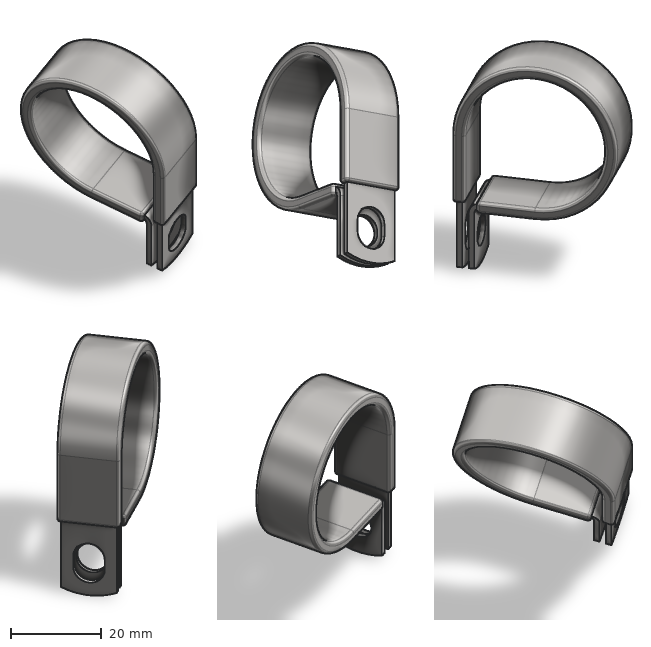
import cadquery as cq
import math

RING_INNER_RADIUS = 15.85
STRAP_THICKNESS = 1.27
STRAP_WIDTH = 12.65
CUSHION_THICKNESS = 0.78
CUSHION_WIDTH = 14.2875

FLAT_CUSHION_LENGTH = 13.3

LEG_GAP = 1.5
BEND_INNER_RADIUS = 1.1
LEG_TIP_Z = -34.06
LEG_TIP_RADIUS = 15.875
HOLE_DIAMETER = 7.14
HOLE_Z = -26.15
SLOT_LENGTH = 9.525
SLOT_ANGLE = 90

strap_inner_radius = RING_INNER_RADIUS + CUSHION_THICKNESS
strap_outer_radius = strap_inner_radius + STRAP_THICKNESS
ring_outer_radius = strap_outer_radius + CUSHION_THICKNESS
upright_cushion_length = strap_inner_radius
bent_leg_outer_x = strap_inner_radius - LEG_GAP
bent_leg_inner_x = bent_leg_outer_x - STRAP_THICKNESS
bend_outer_radius = BEND_INNER_RADIUS + STRAP_THICKNESS
bend_center_x = bent_leg_outer_x - bend_outer_radius
bend_center_z = -strap_outer_radius - BEND_INNER_RADIUS

DIAGONAL = math.sqrt(0.5)


def extrude_centered(profile, width):
    """Extrude an XZ profile by the given width, centred on Y = 0."""
    return profile.extrude(width / 2, both=True)


def three_quarter_band(inner, outer, upright_length, flat_length, width):
    """Band around three quarters of the ring, with a straight run at each end."""
    profile = (
        cq.Workplane("XZ")
        .moveTo(outer, -upright_length)
        .lineTo(outer, 0)
        .threePointArc((-outer * DIAGONAL, outer * DIAGONAL), (0, -outer))
        .lineTo(flat_length, -outer)
        .lineTo(flat_length, -inner)
        .lineTo(0, -inner)
        .threePointArc((-inner * DIAGONAL, inner * DIAGONAL), (inner, 0))
        .lineTo(inner, -upright_length)
        .close()
    )
    return extrude_centered(profile, width)


def make_cushion():
    """Cushion sleeve around the strap, rounded along its sides and at both ends."""
    band = three_quarter_band(
        RING_INNER_RADIUS,
        ring_outer_radius,
        upright_cushion_length,
        FLAT_CUSHION_LENGTH,
        CUSHION_WIDTH,
    )
    mid_radius = (RING_INNER_RADIUS + ring_outer_radius) / 2
    upright_end = cq.selectors.NearestToPointSelector((mid_radius, 0, -upright_cushion_length))
    flat_end = cq.selectors.NearestToPointSelector((FLAT_CUSHION_LENGTH, 0, -mid_radius))
    side_edges = band.faces("<Y or >Y").edges()
    upright_end_edges = band.faces(upright_end).edges()
    flat_end_edges = band.faces(flat_end).edges()
    return side_edges.add(upright_end_edges).add(flat_end_edges).fillet(CUSHION_THICKNESS)


def bend_midpoint(radius):
    """Point halfway round the leg bend at the given radius."""
    return (bend_center_x + radius * DIAGONAL, bend_center_z + radius * DIAGONAL)


def make_bent_leg():
    """Leg that turns down from the flat end of the strap band."""
    profile = (
        cq.Workplane("XZ")
        .moveTo(bend_center_x, -strap_inner_radius)
        .threePointArc(bend_midpoint(bend_outer_radius), (bent_leg_outer_x, bend_center_z))
        .lineTo(bent_leg_outer_x, LEG_TIP_Z)
        .lineTo(bent_leg_inner_x, LEG_TIP_Z)
        .lineTo(bent_leg_inner_x, bend_center_z)
        .threePointArc(bend_midpoint(BEND_INNER_RADIUS), (bend_center_x, -strap_outer_radius))
        .close()
    )
    return extrude_centered(profile, STRAP_WIDTH)


def make_leg_cutter():
    """Material removed from both legs: outside the rounded tips, the bolt hole and the slot."""
    half_width = STRAP_WIDTH / 2
    tip_center_z = LEG_TIP_Z + LEG_TIP_RADIUS
    corner_z = tip_center_z - math.sqrt(LEG_TIP_RADIUS**2 - half_width**2)
    waste_bottom_z = LEG_TIP_Z - STRAP_THICKNESS
    tip_waste = (
        cq.Workplane("YZ")
        .moveTo(-half_width, corner_z)
        .threePointArc((0, LEG_TIP_Z), (half_width, corner_z))
        .lineTo(half_width, waste_bottom_z)
        .lineTo(-half_width, waste_bottom_z)
        .close()
        .extrude(ring_outer_radius)
    )
    bent_leg_hole = (
        cq.Workplane("YZ")
        .center(0, HOLE_Z)
        .circle(HOLE_DIAMETER / 2)
        .extrude(bent_leg_outer_x)
    )
    straight_leg_hole = (
        cq.Workplane("YZ", origin=(bent_leg_outer_x, 0, 0))
        .center(0, HOLE_Z)
        .slot2D(SLOT_LENGTH, HOLE_DIAMETER, SLOT_ANGLE)
        .extrude(ring_outer_radius - bent_leg_outer_x)
    )
    return tip_waste.union(bent_leg_hole).union(straight_leg_hole)


def make_strap():
    """Metal strap: band inside the cushion, straight leg and bent leg, tips trimmed and drilled."""
    band_and_straight_leg = three_quarter_band(
        strap_inner_radius,
        strap_outer_radius,
        -LEG_TIP_Z,
        bend_center_x,
        STRAP_WIDTH,
    )
    return band_and_straight_leg.union(make_bent_leg()).cut(make_leg_cutter())


result = make_cushion().union(make_strap())